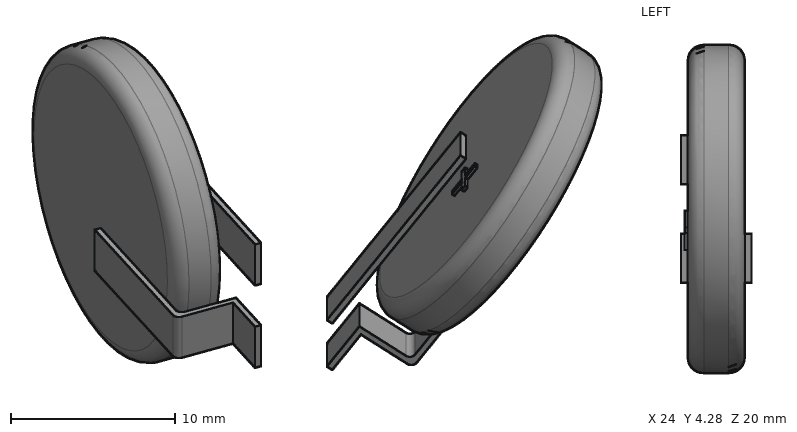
import cadquery as cq

cell_diameter = 20.02
cell_thickness = 3.48
rim_radius = 0.98

strip_thickness = 0.4
strip_width = 3.0
strip_gap = 3.0
tab_end_x = 14.0
riser_outer_x = 11.0
bend_radius = 0.4

mark_span = 2.4
mark_arm_width = 0.35
mark_thickness = 0.2
mark_centre_z = -1.3

front_y = -cell_thickness / 2
back_y = cell_thickness / 2
upper_tab_bottom_z = strip_gap / 2
lower_tab_bottom_z = -strip_gap / 2 - strip_width
riser_inner_x = riser_outer_x - strip_thickness


def block(x_range, y_range, z_bottom, height):
    """Box between two X and two Y limits, standing on z_bottom."""
    length = x_range[1] - x_range[0]
    depth = y_range[1] - y_range[0]
    corner = (x_range[0], y_range[0], z_bottom)
    return cq.Workplane("XY").box(length, depth, height, centered=False).translate(corner)


def make_cell():
    """Disc with both rims rounded."""
    back_plane = cq.Workplane("XZ", origin=(0, back_y, 0))
    disc = back_plane.circle(cell_diameter / 2).extrude(cell_thickness)
    return disc.edges("%CIRCLE").fillet(rim_radius)


def make_upper_tab():
    """Straight strip from the centre of the back face past the rim."""
    return block((0, tab_end_x), (back_y, back_y + strip_thickness), upper_tab_bottom_z, strip_width)


def make_lower_tab():
    """Strip on the front face, bent back past the rim and out along +X at the back plane."""
    outer_y = front_y - strip_thickness
    strip = (
        cq.Workplane("XY", origin=(0, 0, lower_tab_bottom_z))
        .moveTo(0, outer_y)
        .lineTo(riser_outer_x, outer_y)
        .lineTo(riser_outer_x, back_y)
        .lineTo(tab_end_x, back_y)
        .lineTo(tab_end_x, back_y + strip_thickness)
        .lineTo(riser_inner_x, back_y + strip_thickness)
        .lineTo(riser_inner_x, front_y)
        .lineTo(0, front_y)
        .close()
        .extrude(strip_width)
    )
    bend_corners = ((riser_outer_x, outer_y), (riser_inner_x, front_y))
    for x, y in bend_corners:
        middle = (x, y, lower_tab_bottom_z + strip_width / 2)
        strip = strip.edges(cq.selectors.NearestToPointSelector(middle)).fillet(bend_radius)
    return strip


def make_plus_mark():
    """Two crossed bars standing on the back face."""
    mark_y = (back_y, back_y + mark_thickness)
    half_span = mark_span / 2
    half_arm = mark_arm_width / 2
    level_bar = block((-half_span, half_span), mark_y, mark_centre_z - half_arm, mark_arm_width)
    upright_bar = block((-half_arm, half_arm), mark_y, mark_centre_z - half_span, mark_span)
    return level_bar.union(upright_bar)


result = make_cell().union(make_upper_tab()).union(make_lower_tab()).union(make_plus_mark())